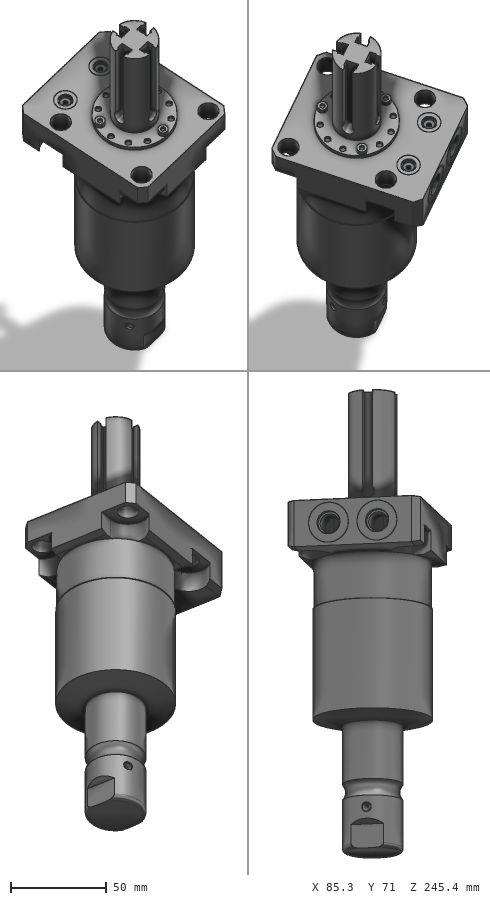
import cadquery as cq
import math

TOTAL_HEIGHT = 245.4
GROOVE_BOTTOM = 27.7
GROOVE_TOP = 36.5
CONE_BOTTOM = 67.7
CONE_TOP = 71.2
BODY_SHOULDER = 130.0
PLATE_BOTTOM = 155.0
PLATE_TOP = 179.8
PLATE_MIDDLE = (PLATE_BOTTOM + PLATE_TOP) / 2
DISK_TOP = 182.3

TIP_RADIUS = 16.0
TIP_FILLET = 2.5
GROOVE_DEPTH = 1.7
CONE_END_RADIUS = 18.6
LOWER_BODY_RADIUS = 31.5
UPPER_BODY_RADIUS = 31.0
DISK_RADIUS = 22.3
SHAFT_RADIUS = 12.8

PLATE_LEFT = 50.0
PLATE_RIGHT = 35.3
PLATE_LENGTH = PLATE_LEFT + PLATE_RIGHT
PLATE_WIDTH = 71.0
CORNER_CHAMFER = 4.0
BEVEL_WIDTH = 4.2
BEVEL_HEIGHT = 1.5
BOLT_OFFSET = 27.5
BOLT_HOLE_DIAMETER = 11.0
BOLT_SEAT_RADIUS = 11.3
BOLT_SEAT_TOP = 166.8

PORT_Y = 13.0
PORT_RING_DIAMETER = 21.3
RING_DEPTH = 0.2
PORT_DIAMETER = 10.0
PORT_MOUTH_DIAMETER = 12.3
PORT_MOUTH_DEPTH = 3.0
PORT_DEPTH = 15.7
TOP_PORT_X = -35.0
TOP_PORT_Y = 14.5
TOP_PORT_RING_DIAMETER = 12.3
TOP_PORT_MOUTH_DIAMETER = 7.9
TOP_PORT_MOUTH_DEPTH = 1.2
TOP_PORT_DIAMETER = 6.5
TOP_PORT_DEPTH = 2.5
PASSAGE_DIAMETER = 2.7
PASSAGE_BOTTOM = 165.1

DISK_CIRCLE_RADIUS = 19.5
DISK_POSITIONS = 12
SCREW_EVERY = 4
DISK_HOLE_DIAMETER = 3.5
DISK_HOLE_DEPTH = 1.7
SCREW_HEAD_DIAMETER = 5.5
SCREW_HEAD_HEIGHT = 3.0
SOCKET_DIAMETER = 3.0
SOCKET_DEPTH = 1.5

SLOT_COUNT = 4
SLOT_WIDTH = 5.5
SLOT_INNER_WIDTH = 6.9
SLOT_FLOOR_RADIUS = 6.1
SLOT_LIP_RADIUS = 9.5
SLOT_END_Z = 191.0

FLAT_COUNT = 2
FLATS_ACROSS = 26.7
FLAT_DISTANCE = FLATS_ACROSS / 2
FLAT_TOP = 12.8
RADIAL_HOLE_COUNT = 3
RADIAL_HOLE_Z = 21.5
RADIAL_HOLE_DIAMETER = 5.0
RADIAL_HOLE_TIP_RADIUS = 12.3


def cylinder(diameter, bottom, top, x=0.0, y=0.0):
    """Vertical cylinder between two heights."""
    return cq.Workplane("XY", origin=(x, y, bottom)).circle(diameter / 2).extrude(top - bottom)


def turned_body():
    """Body of revolution from the lower tip to the end of the shaft."""
    groove_middle = (GROOVE_BOTTOM + GROOVE_TOP) / 2
    corner = TIP_FILLET * (1 - math.sqrt(0.5))
    return (
        cq.Workplane("XZ")
        .moveTo(0, 0)
        .lineTo(TIP_RADIUS - TIP_FILLET, 0)
        .threePointArc((TIP_RADIUS - corner, corner), (TIP_RADIUS, TIP_FILLET))
        .lineTo(TIP_RADIUS, GROOVE_BOTTOM)
        .threePointArc((TIP_RADIUS - GROOVE_DEPTH, groove_middle), (TIP_RADIUS, GROOVE_TOP))
        .lineTo(TIP_RADIUS, CONE_BOTTOM)
        .lineTo(CONE_END_RADIUS, CONE_BOTTOM)
        .lineTo(LOWER_BODY_RADIUS, CONE_TOP)
        .lineTo(LOWER_BODY_RADIUS, BODY_SHOULDER)
        .lineTo(UPPER_BODY_RADIUS, BODY_SHOULDER)
        .lineTo(UPPER_BODY_RADIUS, PLATE_MIDDLE)
        .lineTo(DISK_RADIUS, PLATE_MIDDLE)
        .lineTo(DISK_RADIUS, DISK_TOP)
        .lineTo(SHAFT_RADIUS, DISK_TOP)
        .lineTo(SHAFT_RADIUS, TOTAL_HEIGHT)
        .lineTo(0, TOTAL_HEIGHT)
        .close()
        .revolve(360, (0, 0, 0), (0, 1, 0))
    )


def bevel_cutter():
    """Wedge along +X that bevels a lower plate edge lying at y = 0."""
    return (
        cq.Workplane("YZ", origin=(-PLATE_LENGTH, 0, PLATE_BOTTOM))
        .polyline([(0, 0), (-BEVEL_WIDTH, 0), (0, BEVEL_HEIGHT)])
        .close()
        .extrude(2 * PLATE_LENGTH)
    )


def plate():
    """Chamfered plate with its lower front, back and right edges bevelled."""
    block = (
        cq.Workplane("XY", origin=((PLATE_RIGHT - PLATE_LEFT) / 2, 0, PLATE_BOTTOM))
        .rect(PLATE_LENGTH, PLATE_WIDTH)
        .extrude(PLATE_TOP - PLATE_BOTTOM)
        .edges("|Z")
        .chamfer(CORNER_CHAMFER)
    )
    for angle, distance in ((0, PLATE_WIDTH / 2), (-90, PLATE_RIGHT), (180, PLATE_WIDTH / 2)):
        cutter = bevel_cutter().translate((0, distance, 0))
        block = block.cut(cutter.rotate((0, 0, 0), (0, 0, 1), angle))
    return block


def bolt_seats():
    """Bolt holes with seats open to the plate side; the right pair also opens to the end."""
    seat_height = BOLT_SEAT_TOP - PLATE_BOTTOM
    cutters = cq.Workplane("XY")
    for y in (-BOLT_OFFSET, BOLT_OFFSET):
        for x in (-BOLT_OFFSET, BOLT_OFFSET):
            cutters = cutters.union(cylinder(2 * BOLT_SEAT_RADIUS, PLATE_BOTTOM, BOLT_SEAT_TOP, x, y))
            cutters = cutters.union(cylinder(BOLT_HOLE_DIAMETER, PLATE_BOTTOM, PLATE_TOP, x, y))
        end_slot = cq.Workplane("XY", origin=(BOLT_OFFSET, y, PLATE_BOTTOM)).box(
            PLATE_RIGHT, 2 * BOLT_SEAT_RADIUS, seat_height, centered=(False, True, False)
        )
        cutters = cutters.union(end_slot)
    return cutters


def port(ring_diameter, mouth_diameter, mouth_depth, bore_diameter, depth):
    """Round port running up from the origin, with a shallow seal ring and a stepped mouth."""
    mouth_radius = mouth_diameter / 2
    bore_radius = bore_diameter / 2
    return (
        cq.Workplane("XZ")
        .polyline([
            (0, 0),
            (ring_diameter / 2, 0),
            (ring_diameter / 2, RING_DEPTH),
            (mouth_radius, RING_DEPTH),
            (mouth_radius, mouth_depth),
            (bore_radius, mouth_depth),
            (bore_radius, depth),
            (0, depth),
        ])
        .close()
        .revolve(360, (0, 0, 0), (0, 1, 0))
    )


def ports():
    """Two side ports, each reached from above by a smaller port and a thin passage."""
    side_port = port(
        PORT_RING_DIAMETER, PORT_MOUTH_DIAMETER, PORT_MOUTH_DEPTH, PORT_DIAMETER, PORT_DEPTH
    )
    side_port = side_port.rotate((0, 0, 0), (0, 1, 0), 90)
    top_port = port(
        TOP_PORT_RING_DIAMETER,
        TOP_PORT_MOUTH_DIAMETER,
        TOP_PORT_MOUTH_DEPTH,
        TOP_PORT_DIAMETER,
        TOP_PORT_DEPTH,
    )
    top_port = top_port.rotate((0, 0, 0), (0, 1, 0), 180)
    cutters = cq.Workplane("XY")
    for side in (-1, 1):
        passage = cylinder(PASSAGE_DIAMETER, PASSAGE_BOTTOM, PLATE_TOP, TOP_PORT_X, side * TOP_PORT_Y)
        cutters = cutters.union(side_port.translate((-PLATE_LEFT, side * PORT_Y, PLATE_MIDDLE)))
        cutters = cutters.union(top_port.translate((TOP_PORT_X, side * TOP_PORT_Y, PLATE_TOP)))
        cutters = cutters.union(passage)
    return cutters


def key_slot():
    """T-shaped slot on the +X side, ending in a round radial pocket."""
    pocket = (
        cq.Workplane("YZ", origin=(SLOT_FLOOR_RADIUS, 0, SLOT_END_Z))
        .circle(SLOT_INNER_WIDTH / 2)
        .extrude(SHAFT_RADIUS)
    )
    height = TOTAL_HEIGHT - SLOT_END_Z
    base = cq.Workplane("XY", origin=(SLOT_FLOOR_RADIUS, 0, SLOT_END_Z))
    wide = base.box(
        SLOT_LIP_RADIUS - SLOT_FLOOR_RADIUS, SLOT_INNER_WIDTH, height, centered=(False, True, False)
    )
    narrow = base.box(SHAFT_RADIUS, SLOT_WIDTH, height, centered=(False, True, False))
    return pocket.union(wide).union(narrow)


def flat_cutter():
    """Tool for the flat on the +X side, running out at 45 degrees at its upper end."""
    reach = 2 * TIP_RADIUS - FLAT_DISTANCE
    return (
        cq.Workplane("XZ")
        .polyline([
            (FLAT_DISTANCE, 0),
            (FLAT_DISTANCE + reach, 0),
            (FLAT_DISTANCE + reach, FLAT_TOP + reach),
            (FLAT_DISTANCE, FLAT_TOP),
        ])
        .close()
        .extrude(TIP_RADIUS, both=True)
    )


def radial_hole():
    """Small drill dimple with a 45 degree point, entering the tip from the -X side."""
    radius = RADIAL_HOLE_DIAMETER / 2
    return (
        cq.Workplane("XZ", origin=(0, 0, RADIAL_HOLE_Z))
        .polyline([
            (-RADIAL_HOLE_TIP_RADIUS, 0),
            (-RADIAL_HOLE_TIP_RADIUS - radius, radius),
            (-TIP_RADIUS - radius, radius),
            (-TIP_RADIUS - radius, 0),
        ])
        .close()
        .revolve(360, (0, 0, 0), (1, 0, 0))
    )


def spin(shape, index, count):
    """Copy of a shape turned about the Z axis to one of equally spaced positions."""
    return shape.rotate((0, 0, 0), (0, 0, 1), index * 360 / count)


def screw_head():
    """Round screw head with a hexagon socket, on the +X side of the disk."""
    head = cylinder(SCREW_HEAD_DIAMETER, DISK_TOP, DISK_TOP + SCREW_HEAD_HEIGHT, DISK_CIRCLE_RADIUS)
    return head.faces(">Z").workplane().polygon(6, SOCKET_DIAMETER).cutBlind(-SOCKET_DEPTH)


result = turned_body().union(plate()).cut(bolt_seats()).cut(ports())

for index in range(SLOT_COUNT):
    result = result.cut(spin(key_slot(), index, SLOT_COUNT))

for index in range(FLAT_COUNT):
    result = result.cut(spin(flat_cutter(), index, FLAT_COUNT))

for index in range(RADIAL_HOLE_COUNT):
    result = result.cut(spin(radial_hole(), index, RADIAL_HOLE_COUNT))

disk_hole = cylinder(DISK_HOLE_DIAMETER, DISK_TOP - DISK_HOLE_DEPTH, DISK_TOP, DISK_CIRCLE_RADIUS)
for index in range(DISK_POSITIONS):
    if index % SCREW_EVERY == 0:
        result = result.union(spin(screw_head(), index, DISK_POSITIONS))
    else:
        result = result.cut(spin(disk_hole, index, DISK_POSITIONS))